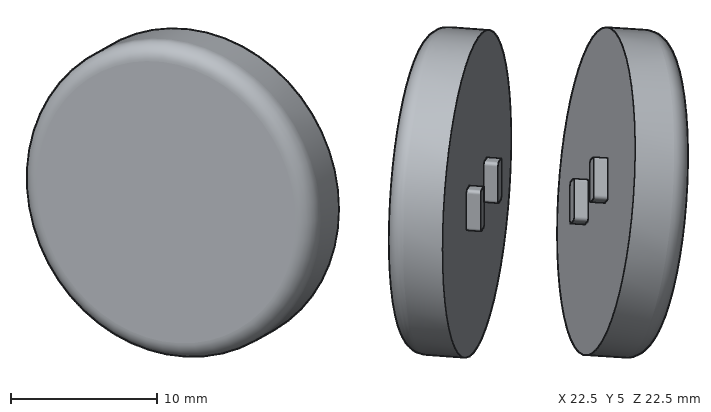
import cadquery as cq

disc_diameter = 22.5
disc_thickness = 4.0
rim_radius = 1.25

tab_width = 1.2
tab_height = 3.0
tab_length = 1.0
tab_corner_radius = 0.25
tab_spacing = 5.7

total_depth = disc_thickness + tab_length
front_y = -total_depth / 2
back_y = front_y + disc_thickness


def make_disc():
    """Round disc with a filleted front rim."""
    disc = cq.Workplane("XZ", origin=(0, back_y, 0)).circle(disc_diameter / 2).extrude(disc_thickness)
    return disc.faces("<Y").edges().fillet(rim_radius)


def make_tab(center_x):
    """Rectangular tab with rounded corners, standing on the back face."""
    tab = (
        cq.Workplane("XZ", origin=(center_x, back_y, 0))
        .rect(tab_width, tab_height)
        .extrude(-tab_length)
    )
    return tab.edges("|Y").fillet(tab_corner_radius)


result = make_disc()
for side in (-1, 1):
    result = result.union(make_tab(side * tab_spacing / 2))